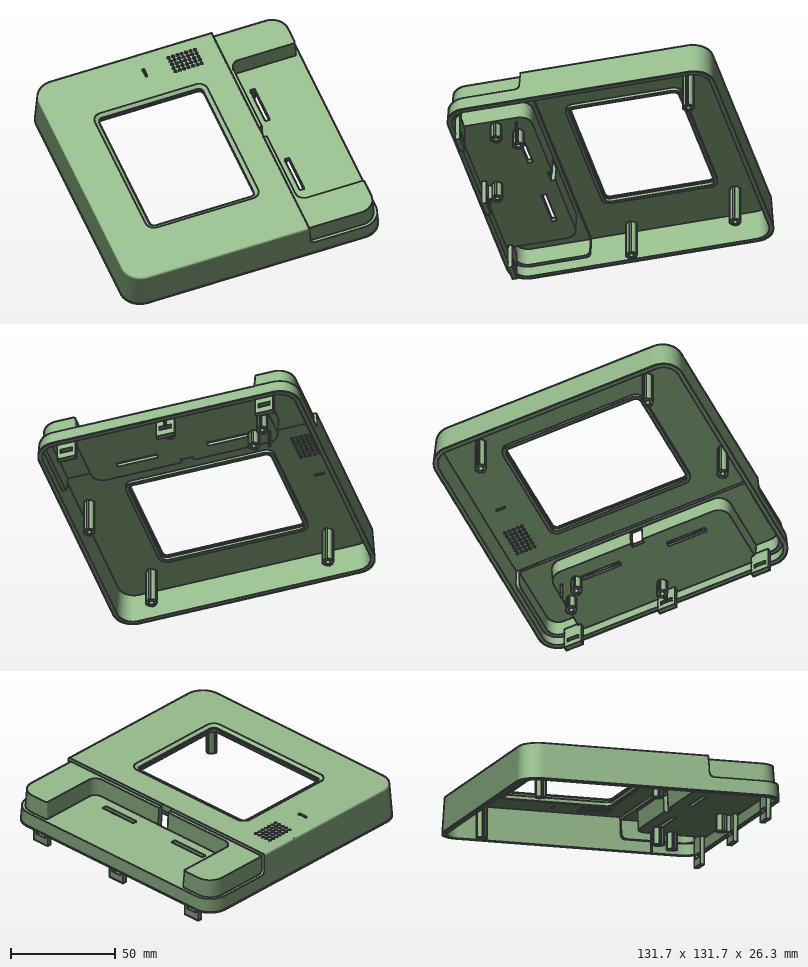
import cadquery as cq
import math

base_size = 131.65
body_height = 18.2
total_height = 26.3
corner_radius = 10.0
draft_angle = 3.0
rim_band_height = 0.5
top_edge_radius = 1.0
wall = 2.0

step_y = 27.7
step_drop = 1.6
shoulder_top = body_height - step_drop
ledge_z = 7.5
shoulder_inset = 1.7
notch_radius = 2.5
pocket_width = 89.8
pocket_front_y = 30.2
pocket_corner_radius = 4.0
shoulder_end_radius = 1.0

window_width = 71.0
window_depth = 53.4
window_y = -15.4
window_corner_radius = 2.2
bevel_width = 2.2
bevel_depth = 1.0
lip_width = 1.5
lip_height = 1.8
lip_setback = 0.5

slot_length = 20.3
slot_width = 2.4
slot_x = 22.8
slot_y = 36.3
slot_corner_radius = 0.3
latch_width = 6.2
grille_columns = 5
grille_rows = 7
grille_pitch = 2.25
grille_hole_diameter = 1.2
grille_x = -53.2
grille_y = 9.7
light_slot_length = 4.7
light_slot_width = 0.9
light_slot_y = -11.0

hook_spacing = 49.9
hook_width = 9.0
hook_thickness = 2.2
hook_y = 61.5
hook_slot_width = 5.8
hook_slot_top = -2.2
hook_slot_bottom = -4.2

boss_diameter = 5.0
boss_rib_thickness = 1.0
boss_rib_span = 5.4
boss_bore_short = 2.4
boss_bore_tall = 2.5
short_boss_end = -2.7
tall_boss_end = -3.8
short_bosses = [(0.0, 56.0), (-43.3, 45.4), (-36.0, 36.2), (57.6, 4.6)]
tall_bosses = [(-44.5, -50.1), (44.5, -50.1)]
bore_depth = 6.0
rear_rib_end_y = 62.9
locating_tip_end = -4.3
locating_tip_x = -43.6
locating_tip_y = 35.3
locating_tip_width = 1.0
locating_tip_thickness = 0.6

draft = math.tan(math.radians(draft_angle))
hook_bottom = body_height - total_height
roof_middle = body_height - wall / 2
floor_middle = ledge_z - wall / 2


def box(size_x, size_y, x, y, z_bottom, z_top):
    height = z_top - z_bottom
    return cq.Workplane("XY").box(size_x, size_y, height).translate((x, y, z_bottom + height / 2))


def rounded_rectangle(size_x, size_y, radius, z=0.0):
    sketch = cq.Sketch().rect(size_x, size_y).vertices().fillet(radius)
    return sketch.moved(cq.Location(cq.Vector(0, 0, z)))


def drafted_slab(inset, z_bottom, z_top):
    """Rounded square slab whose sides lean inwards; the inset is measured at rim level."""
    def section(z):
        side = base_size - 2 * (inset + draft * z)
        return rounded_rectangle(side, side, corner_radius - inset, z)

    return cq.Workplane("XY").placeSketch(section(z_bottom), section(z_top)).loft(ruled=True)


def rear_region(front_y, z_bottom, edge_radius):
    """Everything behind front_y and above z_bottom, with a leaning, rounded front side."""
    front_y_at_bottom = front_y + draft * (body_height - z_bottom)
    return (
        cq.Workplane("YZ")
        .moveTo(base_size, z_bottom)
        .lineTo(front_y_at_bottom, z_bottom)
        .lineTo(front_y, body_height)
        .lineTo(base_size, body_height)
        .close()
        .extrude(base_size, both=True)
        .faces("<Z")
        .edges("<Y")
        .fillet(edge_radius)
    )


def pocket_space(growth, z_bottom):
    """Space of the rear pocket, widening upwards and open to the back, grown on all sides."""
    front_y = pocket_front_y - growth
    depth = base_size - front_y
    outline = rounded_rectangle(pocket_width + 2 * growth, depth, pocket_corner_radius + growth)
    return (
        cq.Workplane("XY", origin=(0, front_y + depth / 2, z_bottom))
        .placeSketch(outline)
        .extrude(body_height, taper=-draft_angle)
    )


def shoulders(inset, z_bottom, z_top, growth):
    """The two rear blocks joined by a thin bridge in front of the pocket."""
    rear_half = box(base_size, base_size, 0, base_size / 2, z_bottom, z_top)
    slab = drafted_slab(inset, z_bottom, z_top).intersect(rear_half)
    return slab.cut(pocket_space(growth, z_bottom))


def round_shoulder_ends(blocks):
    """Round the upright rear edges where the shoulders meet the pocket."""
    rear_y = base_size / 2 - shoulder_inset
    reach = 3.0
    for side in (-1, 1):
        x = side * pocket_width / 2
        corner = cq.selectors.BoxSelector(
            (x - reach, rear_y - reach, ledge_z + reach),
            (x + reach, rear_y + reach, shoulder_top - reach),
        )
        blocks = blocks.edges(corner).fillet(shoulder_end_radius)
    return blocks


def outer_body():
    band = cq.Workplane("XY").placeSketch(rounded_rectangle(base_size, base_size, corner_radius))
    main = drafted_slab(0, rim_band_height, body_height).faces(">Z").edges().fillet(top_edge_radius)
    main = main.union(band.extrude(rim_band_height))
    main = main.cut(rear_region(step_y, ledge_z, notch_radius))
    main = main.cut(pocket_space(0, ledge_z))
    return main.union(round_shoulder_ends(shoulders(shoulder_inset, ledge_z, shoulder_top, 0)))


def cavity():
    """Hollow underside that leaves a thin wall all around."""
    main = drafted_slab(wall, 0, body_height - wall)
    main = main.cut(rear_region(step_y - wall, ledge_z - wall, notch_radius))
    return main.union(shoulders(shoulder_inset + wall, ledge_z - 2 * wall, shoulder_top - wall, wall))


def window():
    """Through opening with a bevel that widens it towards the top."""
    opening = rounded_rectangle(window_width, window_depth, window_corner_radius)
    rim = rounded_rectangle(
        window_width + 2 * bevel_width,
        window_depth + 2 * bevel_width,
        window_corner_radius + bevel_width,
        bevel_depth,
    )
    start = cq.Workplane("XY", origin=(0, window_y, body_height - bevel_depth))
    bevel = start.placeSketch(opening, rim).loft(ruled=True)
    return bevel.union(start.placeSketch(opening).extrude(-body_height))


def window_lip():
    """Frame under the top plate around the window, set back from the edge of the opening."""
    def outline(offset):
        return rounded_rectangle(
            window_width + 2 * offset,
            window_depth + 2 * offset,
            window_corner_radius + offset,
        )

    lip_bottom = body_height - wall - lip_height
    start = cq.Workplane("XY", origin=(0, window_y, lip_bottom))
    frame = start.placeSketch(outline(lip_setback + lip_width)).extrude(lip_height + wall / 2)
    return frame.cut(start.placeSketch(outline(lip_setback)).extrude(lip_height))


def rear_slots():
    return (
        cq.Workplane("XY")
        .pushPoints([(-slot_x, slot_y), (slot_x, slot_y)])
        .rect(slot_length, slot_width)
        .extrude(body_height)
        .edges("|Z")
        .fillet(slot_corner_radius)
    )


def latch_opening():
    length = pocket_front_y - step_y
    return box(latch_width, length, 0, step_y + length / 2, 0, body_height)


def speaker_grille():
    return (
        cq.Workplane("XY", origin=(grille_x, grille_y, 0))
        .rarray(grille_pitch, grille_pitch, grille_columns, grille_rows)
        .circle(grille_hole_diameter / 2)
        .extrude(body_height)
    )


def light_slot():
    return box(light_slot_length, light_slot_width, grille_x, light_slot_y, 0, body_height)


def hook(x):
    """Hanging tab with a rectangular catch slot."""
    tab = box(hook_width, hook_thickness, x, hook_y, hook_bottom, floor_middle)
    return tab.cut(box(hook_slot_width, hook_thickness, x, hook_y, hook_slot_bottom, hook_slot_top))


def boss(x, y, z_end, bore_diameter):
    """Round screw boss with four upright ribs and a blind bore from below."""
    root = floor_middle if y > step_y else roof_middle
    post = cq.Workplane("XY", origin=(x, y, z_end)).circle(boss_diameter / 2).extrude(root - z_end)
    post = post.union(box(boss_rib_span, boss_rib_thickness, x, y, z_end, root))
    post = post.union(box(boss_rib_thickness, boss_rib_span, x, y, z_end, root))
    bore = cq.Workplane("XY", origin=(x, y, z_end)).circle(bore_diameter / 2).extrude(bore_depth)
    return post.cut(bore)


def rear_rib():
    """Rib tying the rear boss to the middle hook."""
    x, y = short_bosses[0]
    start_y = y + boss_diameter / 2 - boss_rib_thickness / 2
    length = rear_rib_end_y - start_y
    rib = box(boss_rib_thickness, length, x, start_y + length / 2, short_boss_end, floor_middle)
    return rib.cut(box(hook_slot_width, hook_thickness, x, hook_y, hook_slot_bottom, hook_slot_top))


def locating_tip():
    """Small flat tongue standing on its own beside the left bosses."""
    return box(
        locating_tip_width,
        locating_tip_thickness,
        locating_tip_x,
        locating_tip_y,
        locating_tip_end,
        floor_middle,
    )


result = outer_body().cut(cavity()).union(window_lip())
for opening in (window(), rear_slots(), latch_opening(), speaker_grille(), light_slot()):
    result = result.cut(opening)
for hook_x in (-hook_spacing, 0, hook_spacing):
    result = result.union(hook(hook_x))
for boss_x, boss_y in short_bosses:
    result = result.union(boss(boss_x, boss_y, short_boss_end, boss_bore_short))
for boss_x, boss_y in tall_bosses:
    result = result.union(boss(boss_x, boss_y, tall_boss_end, boss_bore_tall))
result = result.union(rear_rib()).union(locating_tip())